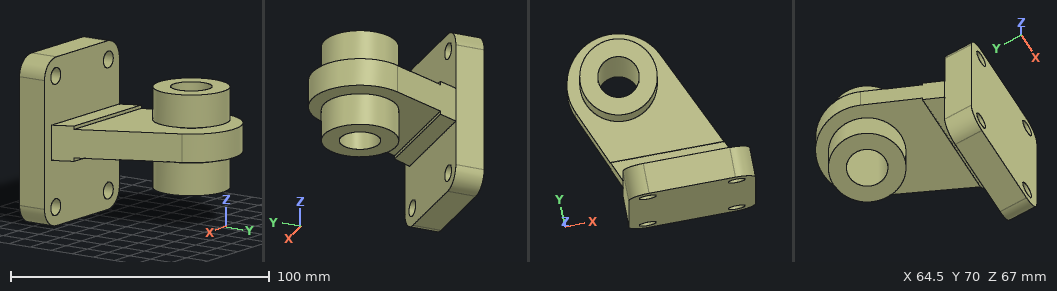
import cadquery as cq
import math

plate_width = 49.95
plate_height = 67.0
plate_thickness = 11.95
plate_corner_radius = 8.0
screw_hole_diameter = 6.6
screw_spacing_x = 35.0
screw_spacing_z = 52.0

overall_depth = 69.95
eye_x = 5.45
eye_radius = 20.0
eye_y = overall_depth - eye_radius
arm_thickness = 11.3
arm_root_width = 45.2

root_thickness = 14.0
root_length = 8.0

neck_diameter = 20.0
boss_diameter = 30.0
boss_span = 40.0
boss_gap = 14.0
bore_diameter = 16.0


def tangent_point(x, y, side):
    """Point where a line from (x, y) touches the eye; side is -1 for left, +1 for right."""
    distance = math.hypot(x - eye_x, y - eye_y)
    direction = math.atan2(y - eye_y, x - eye_x)
    angle = direction + side * math.acos(eye_radius / distance)
    return (eye_x + eye_radius * math.cos(angle), eye_y + eye_radius * math.sin(angle))


def arm(thickness):
    """Tapered arm whose straight flanks run tangent into the round eye."""
    return (
        cq.Workplane("XY", origin=(0, 0, -thickness / 2))
        .moveTo(0, plate_thickness)
        .lineTo(arm_root_width, plate_thickness)
        .lineTo(*tangent_point(arm_root_width, plate_thickness, 1))
        .threePointArc((eye_x, eye_y + eye_radius), tangent_point(0, plate_thickness, -1))
        .close()
        .extrude(thickness)
    )


def eye_cylinder(diameter, bottom, height):
    return cq.Workplane("XY", origin=(eye_x, eye_y, bottom)).circle(diameter / 2).extrude(height)


def mounting_plate():
    plate = (
        cq.Workplane("XY")
        .box(plate_width, plate_thickness, plate_height)
        .edges("|Y")
        .fillet(plate_corner_radius)
        .faces("<Y")
        .workplane(centerOption="CenterOfBoundBox")
        .rect(screw_spacing_x, screw_spacing_z, forConstruction=True)
        .vertices()
        .hole(screw_hole_diameter)
    )
    return plate.translate((plate_width / 2, plate_thickness / 2, 0))


def arm_root():
    root_end = plate_thickness + root_length
    limits = cq.Workplane("XY").box(2 * plate_width, root_end, root_thickness)
    limits = limits.translate((plate_width / 2, root_end / 2, 0))
    return arm(root_thickness).intersect(limits)


def bushing():
    body = eye_cylinder(neck_diameter, -boss_gap / 2, boss_gap)
    boss_height = (boss_span - boss_gap) / 2
    for bottom in (-boss_span / 2, boss_gap / 2):
        body = body.union(eye_cylinder(boss_diameter, bottom, boss_height))
    return body


bore = eye_cylinder(bore_diameter, -boss_span / 2, boss_span)
result = mounting_plate().union(arm(arm_thickness)).union(arm_root()).union(bushing()).cut(bore)